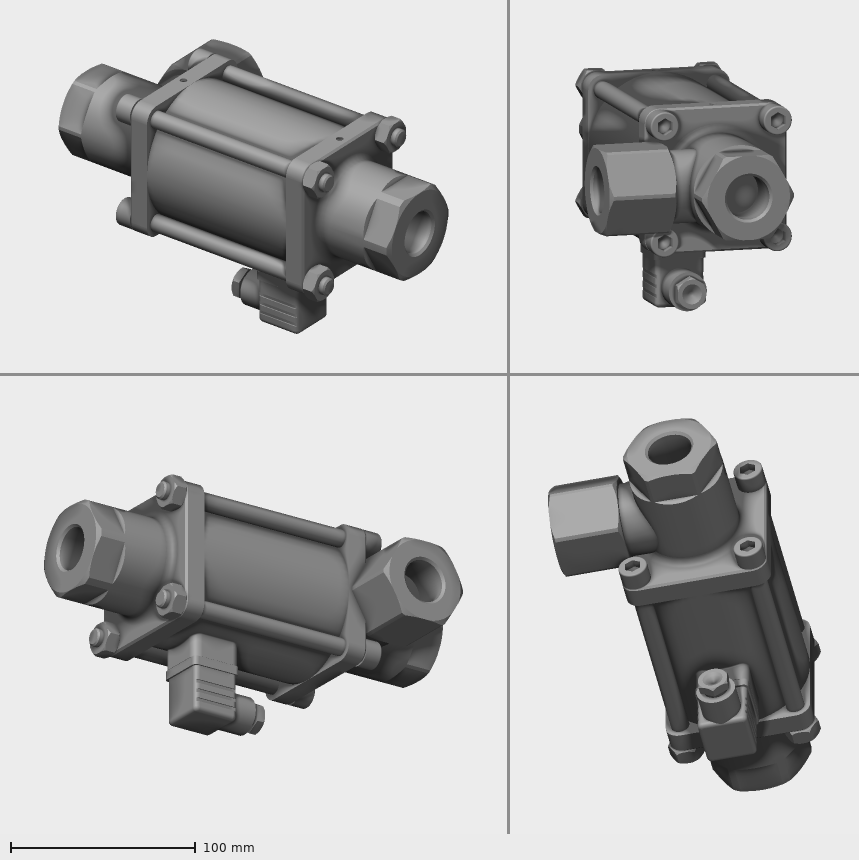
import cadquery as cq
import math


X_AXIS = (1, 0, 0)
Y_AXIS = (0, 1, 0)
Z_AXIS = (0, 0, 1)
HEX_SIDES = 6

total_length = 228.0
plate_thickness = 11.9
inlet_plate_x = 60.9
outlet_plate_x = 179.5
outlet_plate_start = outlet_plate_x - plate_thickness

barrel_diameter = 80.0
plate_size = barrel_diameter
plate_edge_chamfer = 1.1
rod_offset = 32.0
rod_diameter = 10.0
rod_end_x = 191.0
rod_end_chamfer = 1.0

head_diameter = 16.0
head_length = 10.0
head_edge_radius = 1.0
socket_flats = 8.2
socket_depth = 4.5
socket_tip_depth = 2.3
nut_flats = 17.0
nut_length = 8.0
nut_chamfer = 1.1

inlet_diameter = 52.0
inlet_flats = 46.0
inlet_hex_length = 16.9
outlet_diameter = 55.0
outlet_flats = 49.7
outlet_hex_length = 17.0
port_fillet = 4.0
flat_runout = 1.1
port_chamfer_axial = 1.5
port_chamfer_radial = 2.7
bore_diameter = 24.2
bore_depth = 22.8
bore_chamfer = 1.4

side_port_x = 45.0
side_port_y = 72.0
side_port_length = 38.0
side_neck_diameter = 40.0

marker_hole_diameter = 2.5
marker_sink_diameter = 4.0
marker_sink_depth = 1.1
marker_hole_depth = 3.5

connector_x = 141.5
connector_bottom = -82.3
base_length = 30.0
base_width = 29.6
base_bottom = -50.6
base_corner_radius = 5.0
base_overlap = 13.7
base_fillet = 0.7
flange_length = 29.6
flange_width = 29.5
flange_bottom = -55.6
flange_corner_radius = 2.7
cap_length = 27.4
cap_width = 27.5
cap_corner_radius = 2.7
cap_bottom_radius = 2.5
groove_count = 3
groove_width = 2.0
groove_pitch = 5.35
groove_depth = 0.7
first_groove_z = -65.0

gland_z = -71.4
gland_diameter = 21.5
gland_start_x = 113.8
gland_neck_diameter = 13.2
gland_nut_x = 105.8
gland_nut_length = 5.0
gland_nut_flats = 16.0
gland_nut_chamfer = 1.1
gland_hole_diameter = 11.0
gland_hole_depth = 3.5

rod_positions = [(y, z) for y in (-rod_offset, rod_offset) for z in (-rod_offset, rod_offset)]


def across_corners(flats):
    return flats / math.cos(math.pi / HEX_SIDES)


def plane_along_x(x, y=0.0, z=0.0):
    """Plane facing +X with its local x on Y and its local y on Z."""
    return cq.Plane(origin=(x, y, z), xDir=Y_AXIS, normal=X_AXIS)


def cylinder_x(x_start, x_end, diameter, y=0.0, z=0.0):
    start = cq.Workplane(plane_along_x(x_start, y, z))
    return start.circle(diameter / 2).extrude(x_end - x_start)


def hex_prism_x(x, y, z, flats, length, corner_axis):
    plane = cq.Plane(origin=(x, y, z), xDir=corner_axis, normal=X_AXIS)
    return cq.Workplane(plane).polygon(HEX_SIDES, across_corners(flats)).extrude(length)


def axial_plane(plane):
    """Plane through the normal of the given plane, with its local y along that normal."""
    return cq.Plane(origin=plane.origin, xDir=plane.xDir, normal=plane.xDir.cross(plane.zDir))


def chamfered_cylinder(plane, diameter, length, both_ends=False):
    """Cylinder whose end at the plane, or both ends, has the port chamfer."""
    radius = diameter / 2
    straight_end = length - port_chamfer_axial if both_ends else length
    end_radius = radius - port_chamfer_radial
    profile = [(0, 0), (end_radius, 0), (radius, port_chamfer_axial), (radius, straight_end)]
    if both_ends:
        profile.append((end_radius, length))
    profile.append((0, length))
    return cq.Workplane(axial_plane(plane)).polyline(profile).close().revolve(360, (0, 0), (0, 1))


def drill_bore(body, plane):
    """Blind port bore with a chamfered mouth."""
    radius = bore_diameter / 2
    bore = cq.Workplane(plane).circle(radius).extrude(bore_depth)
    mouth = cq.Workplane(plane).circle(radius + bore_chamfer).extrude(bore_chamfer, taper=45)
    return body.cut(bore).cut(mouth)


def port_body(plane, diameter, flats, hex_length, length):
    """Round port body with six wrench flats at its outer end and a fillet at its root."""
    runout_angle = math.degrees(math.atan2((diameter - flats) / 2, flat_runout))
    slope_length = 2 * flat_runout
    hexagon = across_corners(flats)
    flats_envelope = cq.Workplane(plane).polygon(HEX_SIDES, hexagon).extrude(hex_length)
    slope = cq.Workplane(plane).workplane(offset=hex_length).polygon(HEX_SIDES, hexagon)
    flats_envelope = flats_envelope.union(slope.extrude(slope_length, taper=-runout_angle))

    head_length = hex_length + slope_length
    head = chamfered_cylinder(plane, diameter, head_length).intersect(flats_envelope)
    return head.union(port_shank(plane, diameter, head_length, length))


def port_shank(plane, diameter, start, end):
    """Round part of a port body, flaring out with a concave fillet where it meets the end plate."""
    radius = diameter / 2
    arc_reach = port_fillet * (1 - math.cos(math.radians(45)))
    profile = (
        cq.Workplane(axial_plane(plane))
        .moveTo(0, start)
        .lineTo(radius, start)
        .lineTo(radius, end - port_fillet)
        .threePointArc((radius + arc_reach, end - arc_reach), (radius + port_fillet, end))
        .lineTo(0, end)
        .close()
    )
    return profile.revolve(360, (0, 0), (0, 1))


def end_plate(x_start, outer_face):
    """Square plate with rounded corners and a chamfered outer face."""
    plate = cq.Workplane(plane_along_x(x_start)).rect(plate_size, plate_size).extrude(plate_thickness)
    plate = plate.edges("|X").fillet(plate_size / 2 - rod_offset)
    return plate.faces(outer_face).chamfer(plate_edge_chamfer)


def hex_nut(x, y, z, flats, length, chamfer, corner_axis, chamfered_faces):
    """Hexagonal nut along X with two corners on the given axis and turned ends."""
    corners = across_corners(flats)
    blank = cylinder_x(x, x + length, corners, y, z).faces(chamfered_faces).chamfer(chamfer)
    return blank.intersect(hex_prism_x(x, y, z, flats, length, corner_axis))


def tie_rod(y, z):
    """Socket head screw along X with its nut at the outlet end."""
    head_x = inlet_plate_x - head_length
    rod = cylinder_x(inlet_plate_x, rod_end_x, rod_diameter, y, z).faces(">X").chamfer(rod_end_chamfer)
    head = cylinder_x(head_x, inlet_plate_x, head_diameter, y, z).faces("<X").edges().fillet(head_edge_radius)

    socket = hex_prism_x(head_x, y, z, socket_flats, socket_depth, Z_AXIS)
    tip = cq.Solid.makeCone(
        socket_flats / 2, 0, socket_tip_depth, cq.Vector(head_x + socket_depth, y, z), cq.Vector(*X_AXIS)
    )
    head = head.cut(socket).cut(cq.Workplane(tip))
    nut = hex_nut(outlet_plate_x, y, z, nut_flats, nut_length, nut_chamfer, Y_AXIS, "<X or >X")
    return rod.union(head).union(nut)


def side_port():
    """Hexagonal port on a round neck that runs into the inlet body."""
    plane = cq.Plane(origin=(side_port_x, side_port_y, 0), xDir=X_AXIS, normal=(0, -1, 0))
    hexagon = cq.Workplane(plane).polygon(HEX_SIDES, across_corners(inlet_flats)).extrude(side_port_length)
    head = chamfered_cylinder(plane, inlet_diameter, side_port_length, both_ends=True).intersect(hexagon)
    neck = cq.Workplane(plane).workplane(offset=side_port_length).circle(side_neck_diameter / 2)
    return drill_bore(head.union(neck.extrude(side_port_y - side_port_length)), plane)


def marker_hole(plate_x):
    """Small stepped hole going down into the top of an end plate."""
    top = cq.Workplane("XY", origin=(plate_x + plate_thickness / 2, 0, plate_size / 2))
    hole = top.circle(marker_hole_diameter / 2).extrude(-marker_hole_depth)
    return hole.union(top.circle(marker_sink_diameter / 2).extrude(-marker_sink_depth))


def connector_block(length, width, bottom, top, corner_radius):
    block = cq.Workplane("XY", origin=(connector_x, 0, bottom)).rect(length, width).extrude(top - bottom)
    return block.edges("|Z").fillet(corner_radius)


def housing():
    """Round coil housing with the connector base blended into its underside."""
    barrel_radius = barrel_diameter / 2
    barrel = cylinder_x(inlet_plate_x + plate_thickness, outlet_plate_start, barrel_diameter)
    base_top = -barrel_radius + base_overlap
    base = connector_block(base_length, base_width, base_bottom, base_top, base_corner_radius)
    joint_area = cq.selectors.BoxSelector(
        (connector_x - base_length, -base_width, -barrel_radius - base_fillet),
        (connector_x + base_length, base_width, -barrel_radius + base_overlap),
        boundingbox=True,
    )
    return barrel.union(base).edges(joint_area).fillet(base_fillet)


def connector_plug():
    """Flange and cap of the plug, with grip grooves in both sides of the cap."""
    flange = connector_block(flange_length, flange_width, flange_bottom, base_bottom, flange_corner_radius)
    cap = connector_block(cap_length, cap_width, connector_bottom, flange_bottom, cap_corner_radius)
    cap = cap.faces("<Z").edges().fillet(cap_bottom_radius)
    for index in range(groove_count):
        groove_z = first_groove_z - index * groove_pitch
        for side in (-1, 1):
            groove = cq.Workplane("XY").box(cap_length, 2 * groove_depth, groove_width)
            cap = cap.cut(groove.translate((connector_x, side * cap_width / 2, groove_z)))
    return flange.union(cap)


def cable_gland():
    """Gland body, neck and hexagonal nut with a conical cable opening."""
    nut_end_x = gland_nut_x + gland_nut_length
    body = cylinder_x(gland_start_x, connector_x, gland_diameter, z=gland_z)
    neck = cylinder_x(nut_end_x, gland_start_x, gland_neck_diameter, z=gland_z)
    nut = hex_nut(gland_nut_x, 0, gland_z, gland_nut_flats, gland_nut_length, gland_nut_chamfer, Z_AXIS, "<X")
    opening = cq.Solid.makeCone(
        gland_hole_diameter / 2, 0, gland_hole_depth, cq.Vector(gland_nut_x, 0, gland_z), cq.Vector(*X_AXIS)
    )
    return body.union(neck).union(nut).cut(cq.Workplane(opening))


inlet_plane = plane_along_x(0)
outlet_plane = cq.Plane(origin=(total_length, 0, 0), xDir=Y_AXIS, normal=(-1, 0, 0))
inlet_length = inlet_plate_x
outlet_length = total_length - outlet_plate_x

result = housing()
result = result.union(end_plate(inlet_plate_x, "<X")).union(end_plate(outlet_plate_start, ">X"))
result = result.union(port_body(inlet_plane, inlet_diameter, inlet_flats, inlet_hex_length, inlet_length))
result = result.union(port_body(outlet_plane, outlet_diameter, outlet_flats, outlet_hex_length, outlet_length))
result = result.union(side_port())
result = drill_bore(drill_bore(result, inlet_plane), outlet_plane)
for rod_y, rod_z in rod_positions:
    result = result.union(tie_rod(rod_y, rod_z))
for plate_x in (inlet_plate_x, outlet_plate_start):
    result = result.cut(marker_hole(plate_x))
result = result.union(connector_plug()).union(cable_gland())